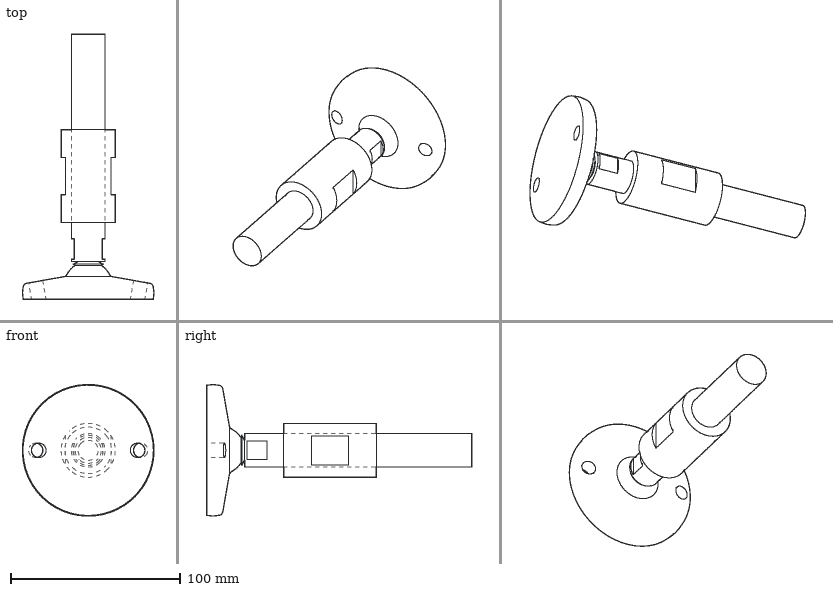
import cadquery as cq
import math

total_length = 157.0

foot_diameter = 78.0
sole_diameter = 77.1
rim_height = 4.0
shoulder_radius = 38.3
slope_angle = 10.0
shoulder_fillet = 2.7
dome_base_radius = 13.8
dome_base_height = 13.7
dome_root_middle_radius = 13.2
dome_root_middle_height = 14.1
dome_start_radius = 12.7
dome_start_height = 14.8
dome_middle_radius = 10.7
dome_middle_height = 17.7
dome_top_radius = 7.7
dome_top_height = 20.3

screw_hole_diameter = 8.5
screw_hole_offset = 29.2
cut_margin = 7.8

rod_diameter = 20.0
rod_start = 22.5
neck_radius = 6.0
skirt_radius = 9.0
skirt_height = 20.9
spindle_flat_width = 16.6
spindle_flat_start = 23.9
spindle_flat_length = 12.0

sleeve_diameter = 32.0
sleeve_start = 45.5
sleeve_length = 55.0
sleeve_flat_width = 27.0
sleeve_flat_length = 21.8
sleeve_flat_start = sleeve_start + (sleeve_length - sleeve_flat_length) / 2


def cylinder_along_y(diameter, start, length):
    plane = cq.Plane(origin=(0, start, 0), xDir=(1, 0, 0), normal=(0, 1, 0))
    return cq.Workplane(plane).circle(diameter / 2).extrude(length)


def cut_wrench_flats(body, diameter, across_flats, start, length):
    """Cut two parallel flats, facing -X and +X, over a stretch of a round body."""
    for side in (-1, 1):
        cutter = (
            cq.Workplane("XY")
            .box(diameter, length, 2 * diameter)
            .translate((side * (across_flats + diameter) / 2, start + length / 2, 0))
        )
        body = body.cut(cutter)
    return body


def revolve_about_y(profile):
    return profile.close().revolve(360, (0, 0, 0), (0, 1, 0))


def make_foot():
    slope_drop = (shoulder_radius - dome_base_radius) * math.tan(math.radians(slope_angle))
    shoulder_height = dome_base_height - slope_drop
    profile = (
        cq.Workplane("XY")
        .lineTo(sole_diameter / 2, 0)
        .lineTo(foot_diameter / 2, rim_height)
        .lineTo(shoulder_radius, shoulder_height)
        .lineTo(dome_base_radius, dome_base_height)
        .threePointArc(
            (dome_root_middle_radius, dome_root_middle_height), (dome_start_radius, dome_start_height)
        )
        .threePointArc((dome_middle_radius, dome_middle_height), (dome_top_radius, dome_top_height))
        .lineTo(0, dome_top_height)
    )
    foot = revolve_about_y(profile)

    edge_margin = 0.2
    shoulder_band = cq.selectors.BoxSelector(
        (-foot_diameter, shoulder_height - edge_margin, -foot_diameter),
        (foot_diameter, shoulder_height + edge_margin, foot_diameter),
        boundingbox=True,
    )
    foot = foot.edges("%CIRCLE").edges(shoulder_band).fillet(shoulder_fillet)

    for side in (-1, 1):
        axis = cq.Vector(
            side * math.sin(math.radians(slope_angle)), math.cos(math.radians(slope_angle)), 0
        )
        start = cq.Vector(side * screw_hole_offset, 0, 0) - axis * cut_margin
        drill_length = dome_base_height + 2 * cut_margin
        drill = cq.Solid.makeCylinder(screw_hole_diameter / 2, drill_length, start, axis)
        foot = foot.cut(cq.Workplane(drill))
    return foot


def make_spindle():
    rod = cylinder_along_y(rod_diameter, rod_start, total_length - rod_start)
    rod = cut_wrench_flats(
        rod, rod_diameter, spindle_flat_width, spindle_flat_start, spindle_flat_length
    )
    neck_profile = (
        cq.Workplane("XY")
        .moveTo(0, dome_top_height)
        .lineTo(dome_top_radius, dome_top_height)
        .lineTo(skirt_radius, skirt_height)
        .lineTo(neck_radius, rod_start)
        .lineTo(0, rod_start)
    )
    return rod.union(revolve_about_y(neck_profile))


def make_sleeve():
    sleeve = cylinder_along_y(sleeve_diameter, sleeve_start, sleeve_length)
    bore = cylinder_along_y(rod_diameter, sleeve_start, sleeve_length)
    sleeve = sleeve.cut(bore)
    return cut_wrench_flats(
        sleeve, sleeve_diameter, sleeve_flat_width, sleeve_flat_start, sleeve_flat_length
    )


foot = make_foot()
spindle = make_spindle()
sleeve = make_sleeve()

result = cq.Compound.makeCompound([*foot.solids().vals(), *spindle.solids().vals(), *sleeve.solids().vals()])